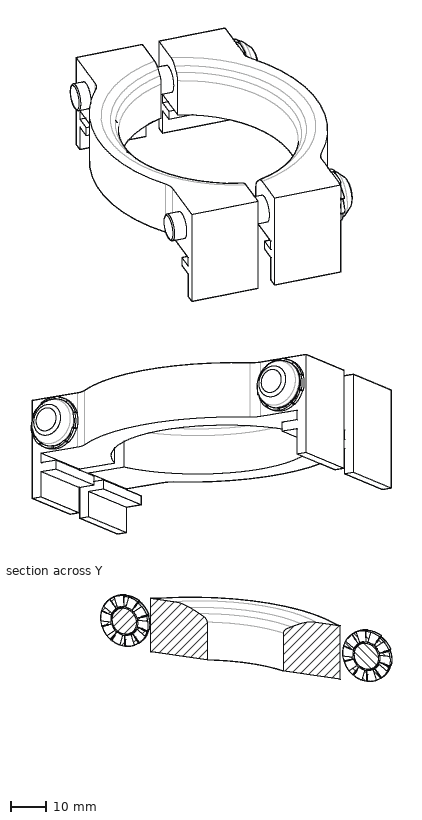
import cadquery as cq
import math

LENGTH = 92.0
WIDTH = 66.0
HEIGHT = 28.9
CUT_CLEARANCE = 0.9

SPLIT_GAP = 5.0
EAR_LENGTH = 20.15
RING_HEIGHT = 16.0
OUTER_RADIUS = 46.0
EAR_FILLET = 5.0
LEG_THICKNESS = 3.0
TAB_REACH = 8.0
TAB_THICKNESS = 2.7
TAB_TOP = -18.8

BORE_AXIS_OFFSET = 7.6
BORE_RADIUS = 32.7
BORE_FILLET = 3.1
MOUTH_FILLET = 3.8
MOUTH_CONE = 1.4
CONE_ANGLE = 45.0

BOLT_SPACING = 76.0
BOLT_Z = -RING_HEIGHT / 2
BOLT_DIAMETER = 7.8
BOLT_TIP_CHAMFER = 0.4
SHANK_LENGTH = 50.3
HEAD_DIAMETER = 13.7
HEAD_RIM_HEIGHT = 0.4
HEAD_SHOULDER_DIAMETER = 12.9
HEAD_SHOULDER_HEIGHT = 1.6
HEAD_CROWN_DIAMETER = 9.0
HEAD_CROWN_HEIGHT = 3.7
HEAD_TOP_DIAMETER = 6.7
HEAD_HEIGHT = 4.2

WASHER_DIAMETER = 15.0
WASHER_BORE = 8.5
WASHER_HEIGHT = 1.6
TOOTH_COUNT = 10
TOOTH_TOP_RISE = 0.55
TOOTH_BOTTOM_RISE = 0.3
TOOTH_ROOT_DIAMETER = 11.0
TOOTH_GAP = 0.2
TOOTH_PHASE = -2.0
SEAT_DEPTH = 0.55

ear_inner_y = SPLIT_GAP / 2
ear_outer_y = ear_inner_y + EAR_LENGTH
washer_top_y = ear_outer_y + WASHER_HEIGHT
bolt_places = [
    (-1, washer_top_y),
    (1, washer_top_y - SEAT_DEPTH),
]


def clamp_outline():
    """Ears and outer arc of the +Y half, without the bore."""
    outer_reach = WIDTH / 2
    arc_center_y = outer_reach - OUTER_RADIUS
    fillet_center_y = ear_outer_y + EAR_FILLET
    center_rise = fillet_center_y - arc_center_y
    center_distance = OUTER_RADIUS + EAR_FILLET
    fillet_center_x = math.sqrt(center_distance**2 - center_rise**2)
    tangent_x = OUTER_RADIUS * fillet_center_x / center_distance
    tangent_y = arc_center_y + OUTER_RADIUS * center_rise / center_distance
    middle_angle = (math.atan2(center_rise, fillet_center_x) + math.pi / 2) / 2
    middle_x = fillet_center_x - EAR_FILLET * math.cos(middle_angle)
    middle_y = fillet_center_y - EAR_FILLET * math.sin(middle_angle)
    end_x = LENGTH / 2
    return (
        cq.Workplane("XY")
        .moveTo(-end_x, ear_inner_y)
        .lineTo(end_x, ear_inner_y)
        .lineTo(end_x, ear_outer_y)
        .lineTo(fillet_center_x, ear_outer_y)
        .threePointArc((middle_x, middle_y), (tangent_x, tangent_y))
        .threePointArc((0, outer_reach), (-tangent_x, tangent_y))
        .threePointArc((-middle_x, middle_y), (-fillet_center_x, ear_outer_y))
        .lineTo(-end_x, ear_outer_y)
        .close()
        .extrude(-RING_HEIGHT)
    )


def bore_cutter():
    """Bore with a conical mouth, rounded where it meets the bore and the top face."""
    cone = math.radians(CONE_ANGLE)
    lower_middle_angle = cone / 2
    upper_middle_angle = (math.pi / 2 + cone) / 2

    lower_center_r = BORE_RADIUS + BORE_FILLET
    cone_start_r = lower_center_r - BORE_FILLET * math.cos(cone)
    cone_end_r = cone_start_r + MOUTH_CONE
    mouth_r = cone_end_r + MOUTH_FILLET * math.cos(cone)
    cone_end_z = MOUTH_FILLET * (math.sin(cone) - 1)
    cone_start_z = cone_end_z - MOUTH_CONE * math.tan(cone)
    lower_center_z = cone_start_z - BORE_FILLET * math.sin(cone)

    lower_middle = (
        lower_center_r - BORE_FILLET * math.cos(lower_middle_angle),
        lower_center_z + BORE_FILLET * math.sin(lower_middle_angle),
    )
    upper_middle = (
        mouth_r - MOUTH_FILLET * math.cos(upper_middle_angle),
        MOUTH_FILLET * (math.sin(upper_middle_angle) - 1),
    )
    return (
        cq.Workplane("XZ")
        .moveTo(0, -HEIGHT)
        .lineTo(BORE_RADIUS, -HEIGHT)
        .lineTo(BORE_RADIUS, lower_center_z)
        .threePointArc(lower_middle, (cone_start_r, cone_start_z))
        .lineTo(cone_end_r, cone_end_z)
        .threePointArc(upper_middle, (mouth_r, 0))
        .lineTo(mouth_r, CUT_CLEARANCE)
        .lineTo(0, CUT_CLEARANCE)
        .close()
        .revolve(360, (0, 0, 0), (0, 1, 0))
        .translate((0, -BORE_AXIS_OFFSET, 0))
    )


def ear_leg(side):
    """Leg hanging below one ear, with a tab pointing inwards."""
    ear_middle_y = ear_inner_y + EAR_LENGTH / 2
    leg = cq.Workplane("XY").box(LEG_THICKNESS, EAR_LENGTH, HEIGHT)
    leg = leg.translate((side * (LENGTH - LEG_THICKNESS) / 2, ear_middle_y, -HEIGHT / 2))
    tab = cq.Workplane("XY").box(TAB_REACH, EAR_LENGTH, TAB_THICKNESS)
    tab = tab.translate((side * (LENGTH - TAB_REACH) / 2, ear_middle_y, TAB_TOP - TAB_THICKNESS / 2))
    return leg.union(tab)


def bolt_hole(side):
    return (
        cq.Workplane("XZ")
        .center(side * BOLT_SPACING / 2, BOLT_Z)
        .circle(BOLT_DIAMETER / 2)
        .extrude(-WIDTH)
    )


def clamp_half():
    """The half of the clamp on the +Y side."""
    half = clamp_outline().cut(bore_cutter())
    for side in (-1, 1):
        half = half.union(ear_leg(side)).cut(bolt_hole(side))
    return half


def bolt(side, head_y):
    """Bolt turned about its own axis, with a low domed head on the +Y end."""
    shank_radius = BOLT_DIAMETER / 2
    head_radius = HEAD_DIAMETER / 2
    return (
        cq.Workplane("XY")
        .moveTo(0, -SHANK_LENGTH)
        .lineTo(shank_radius - BOLT_TIP_CHAMFER, -SHANK_LENGTH)
        .lineTo(shank_radius, BOLT_TIP_CHAMFER - SHANK_LENGTH)
        .lineTo(shank_radius, 0)
        .lineTo(head_radius, 0)
        .lineTo(head_radius, HEAD_RIM_HEIGHT)
        .tangentArcPoint((HEAD_SHOULDER_DIAMETER / 2, HEAD_SHOULDER_HEIGHT), relative=False)
        .lineTo(HEAD_CROWN_DIAMETER / 2, HEAD_CROWN_HEIGHT)
        .lineTo(HEAD_TOP_DIAMETER / 2, HEAD_HEIGHT)
        .lineTo(0, HEAD_HEIGHT)
        .close()
        .revolve(360, (0, 0, 0), (0, 1, 0))
        .translate((side * BOLT_SPACING / 2, head_y, BOLT_Z))
    )


def washer_tooth():
    """One sector of the washer about Z, sloping along its rim on both faces."""
    radius = WASHER_DIAMETER / 2
    half_angle = math.pi / TOOTH_COUNT
    half_width = radius * math.sin(half_angle)
    low_edge_height = WASHER_HEIGHT - TOOTH_TOP_RISE
    slab = (
        cq.Workplane("YZ")
        .polyline([
            (-half_width, 0),
            (half_width, TOOTH_BOTTOM_RISE),
            (half_width, WASHER_HEIGHT),
            (-half_width, low_edge_height),
        ])
        .close()
        .extrude(radius)
    )
    corner_x = radius * math.cos(half_angle)
    sector = (
        cq.Workplane("XY")
        .lineTo(corner_x, -half_width)
        .threePointArc((radius, 0), (corner_x, half_width))
        .close()
        .extrude(WASHER_HEIGHT)
    )
    return slab.intersect(sector)


def tooth_gap():
    """Narrow radial slot beside one tooth."""
    return (
        cq.Workplane("XY")
        .rect(WASHER_DIAMETER, TOOTH_GAP)
        .extrude(WASHER_HEIGHT)
        .translate((WASHER_DIAMETER / 2 + TOOTH_ROOT_DIAMETER / 2, 0, 0))
    )


def washer(side):
    """Ring of sloping teeth with a hole for the bolt and a recess for its head."""
    tooth_angle = 360 / TOOTH_COUNT
    ring = cq.Workplane("XY")
    for index in range(TOOTH_COUNT):
        angle = TOOTH_PHASE + index * tooth_angle
        ring = ring.union(washer_tooth().rotate((0, 0, 0), (0, 0, 1), angle))
    for index in range(TOOTH_COUNT):
        angle = TOOTH_PHASE + (index + 0.5) * tooth_angle
        ring = ring.cut(tooth_gap().rotate((0, 0, 0), (0, 0, 1), angle))
    hole = cq.Workplane("XY").circle(WASHER_BORE / 2).extrude(WASHER_HEIGHT)
    seat = cq.Workplane("XY").circle(HEAD_DIAMETER / 2).extrude(SEAT_DEPTH)
    seat = seat.translate((0, 0, WASHER_HEIGHT - SEAT_DEPTH))
    ring = ring.cut(hole).cut(seat)
    ring = ring.rotate((0, 0, 0), (1, 0, 0), -90)
    return ring.translate((side * BOLT_SPACING / 2, ear_outer_y, BOLT_Z))


rear_half = clamp_half().solids()
front_half = rear_half.mirror("XZ").solids()
bolts = [bolt(side, head_y).solids().val() for side, head_y in bolt_places]
washers = [washer(side).solids().val() for side, head_y in bolt_places]

result = cq.Compound.makeCompound([rear_half.val(), front_half.val(), *bolts, *washers])